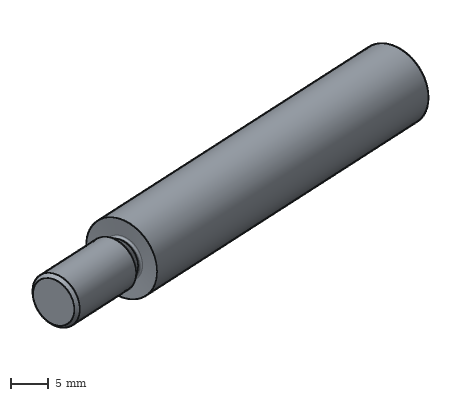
import cadquery as cq
import math

total_length = 75.0
body_diameter = 12.0
body_length = 60.0
stud_diameter = 8.0
tip_chamfer = 0.5

undercut_diameter = 6.0
undercut_length = 2.0
cone_half_angle = 30.0
undercut_fillet = 0.3

dish_angle = 5.0

body_radius = body_diameter / 2
stud_radius = stud_diameter / 2
undercut_radius = undercut_diameter / 2
shoulder_y = total_length - body_length
dish_depth = (body_radius - undercut_radius) * math.tan(math.radians(dish_angle))
dish_bottom_y = shoulder_y + dish_depth
cone_length = (stud_radius - undercut_radius) / math.tan(math.radians(cone_half_angle))
cone_start_y = shoulder_y - undercut_length
cone_end_y = cone_start_y + cone_length

selection_margin = 0.1


def make_pillar():
    """Revolve the half profile (radius, position) of stud, undercut and body about Y."""
    profile = (
        cq.Workplane("XY")
        .moveTo(0, 0)
        .lineTo(stud_radius - tip_chamfer, 0)
        .lineTo(stud_radius, tip_chamfer)
        .lineTo(stud_radius, cone_start_y)
        .lineTo(undercut_radius, cone_end_y)
        .lineTo(undercut_radius, dish_bottom_y)
        .lineTo(body_radius, shoulder_y)
        .lineTo(body_radius, total_length)
        .lineTo(0, total_length)
        .close()
    )
    return profile.revolve(360, (0, 0, 0), (0, 1, 0))


def round_undercut_root(pillar):
    """Fillet the inner corner where the undercut meets the dished end face."""
    root_slab = cq.selectors.BoxSelector(
        (-body_radius, dish_bottom_y - selection_margin, -body_radius),
        (body_radius, dish_bottom_y + selection_margin, body_radius),
    )
    return pillar.edges(root_slab).fillet(undercut_fillet)


result = round_undercut_root(make_pillar())